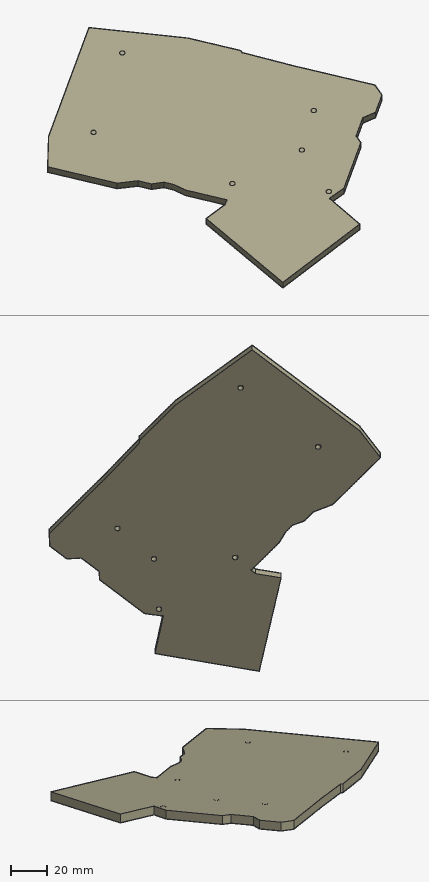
import cadquery as cq

thickness = 5.0
hole_diameter = 2.9
roof_thickness = 0.5

left_x = 0
right_x = 165.6
notch_x = 161.8
corner_x = 167.5
inner_corner_x = 106.2
front_y = 39.6
front_step_y = 44.5
front_crest_y = 47.6
front_inner_y = 45.8
back_y = 146.5
back_right_y = 144.6

back_edge = [
    (left_x, 138.0),
    (54.1, back_y),
    (84.5, back_y),
    (85.6, 145.3),
    (115.0, back_right_y),
    (notch_x, back_right_y),
]
right_edge = [
    (corner_x, 139.2),
    (corner_x, 126.7),
    (notch_x, 121.0),
    (notch_x, 108.2),
    (right_x, 104.5),
    (right_x, 71.7),
]
wing_edge = [
    (160.0, 62.8),
    (181, 50.5),
    (151.9, 0),
    (99.0, 30.2),
    (inner_corner_x, 42.5),
]
front_edge = [
    (inner_corner_x, front_inner_y),
    (82.7, front_inner_y),
    (75.3, front_crest_y),
    (69.7, front_crest_y),
    (63.5, front_step_y),
    (55.7, front_step_y),
    (45.2, front_y),
    (5.5, front_y),
    (left_x, 59.7),
]

hole_centres = [
    (134.5, 118.5),
    (136.0, 90.7),
    (158.2, 67.5),
    (105.9, 57.7),
    (22.5, 126.7),
    (22.8, 69.9),
]


def make_plate():
    outline = back_edge + right_edge + wing_edge + front_edge
    return cq.Workplane("XY").polyline(outline).close().extrude(thickness)


def make_hole_cutters():
    """Blind holes rising from the lower face, leaving a thin roof under the upper face."""
    hole_depth = thickness - roof_thickness
    return cq.Workplane("XY").pushPoints(hole_centres).circle(hole_diameter / 2).extrude(hole_depth)


result = make_plate().cut(make_hole_cutters())